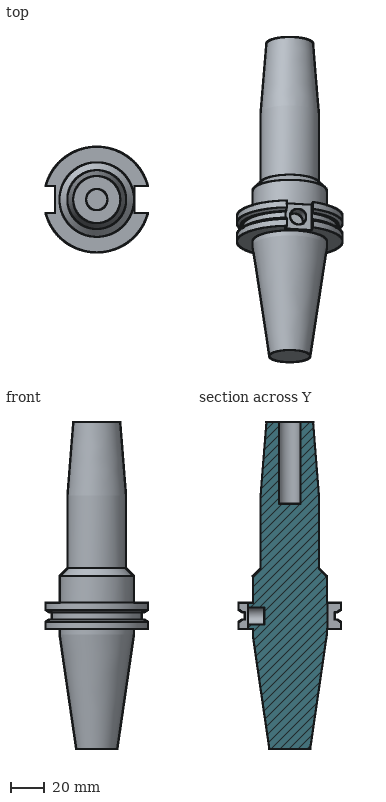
import cadquery as cq

taper_small_radius = 12.3
body_radius = 22.3
taper_height = 68.3

flange_radius = 31.6
flange_bottom = 71.7
flange_top = 87.5
flange_middle = (flange_bottom + flange_top) / 2
groove_radius = 28.1
groove_mouth_radius = 29.3
groove_floor_width = 4.1
groove_chamfer_height = 1.5

shoulder_top = 108.0
neck_radius = 17.5
nose_taper_start = 151.1
nose_tip_radius = 14.0
total_height = 195.2

slot_width = 16.0
left_slot_floor = 25.0
right_slot_floor = 22.6
side_hole_diameter = 9.8
side_hole_depth = 9.8

bore_diameter = 12.7
bore_depth = 48.8


def make_body():
    """Revolve the complete outer profile, including the flange groove."""
    groove_bottom = flange_middle - groove_floor_width / 2
    groove_top = flange_middle + groove_floor_width / 2
    shoulder_bottom = shoulder_top - (body_radius - neck_radius)
    profile = [
        (0, 0),
        (taper_small_radius, 0),
        (body_radius, taper_height),
        (body_radius, flange_bottom),
        (flange_radius, flange_bottom),
        (flange_radius, groove_bottom - groove_chamfer_height),
        (groove_mouth_radius, groove_bottom),
        (groove_radius, groove_bottom),
        (groove_radius, groove_top),
        (groove_mouth_radius, groove_top),
        (flange_radius, groove_top + groove_chamfer_height),
        (flange_radius, flange_top),
        (body_radius, flange_top),
        (body_radius, shoulder_bottom),
        (neck_radius, shoulder_top),
        (neck_radius, nose_taper_start),
        (nose_tip_radius, total_height),
        (0, total_height),
    ]
    return cq.Workplane("XZ").polyline(profile).close().revolve(360, (0, 0), (0, 1))


def make_drive_slot(side, floor):
    """Slot through the flange height; side is -1 for -X and 1 for +X."""
    outer = flange_radius + 2.0
    return (
        cq.Workplane("XY")
        .box(outer - floor, slot_width, flange_top - flange_bottom)
        .translate((side * (outer + floor) / 2, 0, flange_middle))
    )


def make_side_hole():
    """Blind radial hole in the floor of the -X slot."""
    return (
        cq.Workplane("YZ", origin=(-left_slot_floor, 0, flange_middle))
        .circle(side_hole_diameter / 2)
        .extrude(side_hole_depth)
    )


def make_tool_bore():
    """Blind axial bore from the tip of the nose."""
    return (
        cq.Workplane("XY", origin=(0, 0, total_height))
        .circle(bore_diameter / 2)
        .extrude(-bore_depth)
    )


result = (
    make_body()
    .cut(make_drive_slot(-1, left_slot_floor))
    .cut(make_drive_slot(1, right_slot_floor))
    .cut(make_side_hole())
    .cut(make_tool_bore())
)